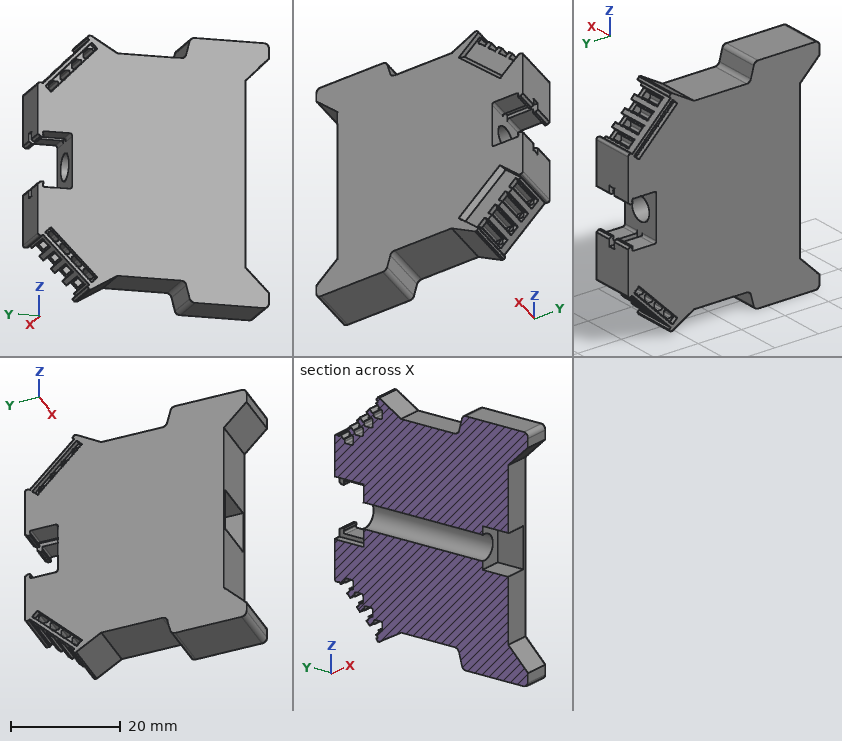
import cadquery as cq
import math

thickness = 9.5
depth = 44.1
height = 50.0
rail_y = depth / 2
foot_y = -depth / 2
left_x = -thickness / 2

rail_slot_depth = 6.55
rail_slot_half_height = 5.25
rail_slot_corner_radius = 0.5
lip_half_opening = 4.25
lip_width = 1.15
lip_bevel = 0.55
lip_bevel_rise = 0.4
lip_nick = 0.15
lip_bead_height = 0.5
lip_nose_radius = 0.2
lip_root_radius = 0.3
lip_gap_width = 1.5
lip_gap_x = 0.2
lip_gap_half_height = 6.1

label_start_y = rail_y - 1.0
label_start_z = 14.3
label_rise = 8.8
slope_angle = 45
label_end_y = label_start_y - label_rise
label_end_z = label_start_z + label_rise
rim_height = 0.15
rim_corner_radius = 0.45
rim_overhang = 0.35

shoulder_z = 21.0
shoulder_start_y = rail_y - 15.2
peak_y = rail_y - 10.2
peak_z = 23.95
peak_width = 0.4
foot_base_y = rail_y - 28.1
foot_tip_y = rail_y - 29.15
foot_top_z = height / 2
foot_fillet = 1.0
foot_edge_z = 22.1
foot_bevel = 4.5
front_y = foot_y + foot_bevel

pocket_width = 8.15
pocket_height = 8.5
pocket_depth = 5.85
passage_diameter = 5.2

label_length = label_rise * math.sqrt(2)
notch_count = 4
notch_pitch = label_length / notch_count
notch_width = 2.0
notch_depth = 1.05
notch_start = 1.7
clip_hole_side = 1.85
clip_hole_corner_radius = 0.35
clip_hole_depth = 1.7
clip_hole_end = 7.5
groove_top = 0.7
groove_width = 1.45
groove_depth = 1.0
recess_thickness = 1.0
recess_depth = 4.6
recess_slope = 0.9


def round_edge(solid, y, z, radius):
    """Round the edge that runs along X through the given outline corner."""
    corner = cq.selectors.NearestToPointSelector((0, y, z))
    return solid.edges("|X").edges(corner).fillet(radius)


def half_body():
    """Upper half of the plate, from the middle plane up."""
    slot_floor_y = rail_y - rail_slot_depth
    lip_inner_y = rail_y - lip_width
    rim_z = label_start_z + rim_height
    profile = [
        (slot_floor_y, 0),
        (slot_floor_y, rail_slot_half_height),
        (lip_inner_y + lip_nick, rail_slot_half_height),
        (lip_inner_y + lip_nick, lip_half_opening + lip_bead_height),
        (lip_inner_y, lip_half_opening + lip_bead_height / 2),
        (lip_inner_y + lip_nick, lip_half_opening),
        (rail_y - lip_bevel, lip_half_opening),
        (rail_y, lip_half_opening + lip_bevel_rise),
        (rail_y, rim_z),
        (label_start_y + rim_height, rim_z),
        (label_start_y, label_start_z),
        (label_end_y, label_end_z),
        (label_end_y + rim_overhang, label_end_z + rim_overhang),
        (peak_y + peak_width, peak_z),
        (peak_y, peak_z),
        (shoulder_start_y, shoulder_z),
        (foot_base_y, shoulder_z),
        (foot_tip_y, foot_top_z),
        (foot_y, foot_top_z),
        (foot_y, foot_edge_z),
        (front_y, foot_edge_z - foot_bevel),
        (front_y, 0),
    ]
    body = cq.Workplane("YZ", origin=(left_x, 0, 0)).polyline(profile).close().extrude(thickness)

    for y, z in [(foot_base_y, shoulder_z), (foot_tip_y, foot_top_z), (foot_y, foot_top_z)]:
        body = round_edge(body, y, z, foot_fillet)
    body = round_edge(body, rail_y, rim_z, rim_corner_radius)
    body = round_edge(body, lip_inner_y, lip_half_opening + lip_bead_height / 2, lip_nose_radius)
    body = round_edge(body, lip_inner_y + lip_nick, rail_slot_half_height, lip_root_radius)
    return round_edge(body, slot_floor_y, rail_slot_half_height, rail_slot_corner_radius)


def slope_plane(x_offset):
    """Plane across the slope: local x runs up the slope, local y points into the part."""
    return cq.Workplane(
        cq.Plane(
            origin=(left_x + x_offset, label_start_y, label_start_z),
            xDir=(0, -1, 1),
            normal=(1, 0, 0),
        )
    )


def slope_box(x_start, x_end, along_start, length, top, size):
    """Box given by its X span, its place along the slope and its depth below the slope."""
    return (
        slope_plane(x_start)
        .center(along_start, top)
        .rect(length, size, centered=False)
        .extrude(x_end - x_start)
    )


def label_seat():
    """Material removed at the upper slope: groove, clip holes, notches and side recess."""
    recess_start = thickness - recess_thickness
    seat = slope_box(0, groove_depth, 0, label_length, groove_top, groove_width)
    for index in range(notch_count):
        middle = (index + 0.5) * notch_pitch
        notch = slope_box(
            notch_start, recess_start, middle - notch_width / 2, notch_width, 0, notch_depth
        )
        clip_hole = (
            slope_plane(groove_depth)
            .center(middle, clip_hole_depth)
            .transformed(rotate=(0, 0, slope_angle))
            .rect(clip_hole_side, clip_hole_side)
            .extrude(clip_hole_end - groove_depth)
            .edges("|X")
            .fillet(clip_hole_corner_radius)
        )
        seat = seat.union(notch).union(clip_hole)
    recess = (
        cq.Workplane(
            cq.Plane(
                origin=(left_x, label_start_y, label_start_z),
                xDir=(1, 0, 0),
                normal=(0, -1, 1),
            )
        )
        .polyline([
            (recess_start, 0),
            (thickness, 0),
            (thickness, -recess_depth - recess_slope),
            (recess_start, -recess_depth),
        ])
        .close()
        .extrude(label_length)
    )
    return seat.union(recess)


def front_pocket():
    """Square pocket in the front face and the round passage on to the rail slot."""
    passage_length = rail_y - front_y
    pocket = cq.Workplane("XY").box(pocket_width, pocket_depth, pocket_height)
    pocket = pocket.translate((0, front_y + pocket_depth / 2, 0))
    passage = cq.Workplane("XZ", origin=(0, rail_y, 0)).circle(passage_diameter / 2).extrude(passage_length)
    return pocket.union(passage)


def rail_lip_gap():
    """Narrow gap that splits both rail lips and grooves the slot sides near mid-thickness."""
    gap = cq.Workplane("XY").box(lip_gap_width, rail_slot_depth, 2 * lip_gap_half_height)
    return gap.translate((lip_gap_x, rail_y - rail_slot_depth / 2, 0))


upper_half = half_body().cut(label_seat())
result = upper_half.union(upper_half.mirror("XY")).cut(front_pocket()).cut(rail_lip_gap())